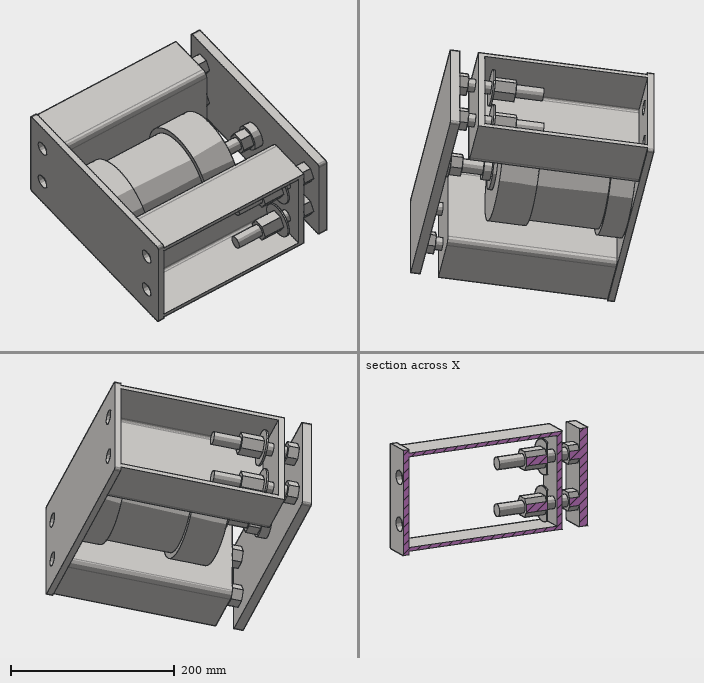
import cadquery as cq
import math


width = 270.0
front_height = 135.0
back_height = 126.0
overall_depth = 254.0
front_thickness = 8.0
back_thickness = 12.0
plate_corner_radius = 3.0
back_face_y = overall_depth - back_thickness

channel_width = 65.0
channel_end_y = 219.2
channel_wall = 5.5
end_plate_thickness = 8.0
channel_outer_radius = 8.0
channel_inner_radius = 3.2

nut_flats = 24.0
nut_corners = nut_flats / math.cos(math.pi / 6)

bolt_x = 110.0
bolt_z = 30.0
bolt_diameter = 16.0
bolt_end_y = 134.2
access_hole_diameter = 17.8
head_height = 13.5
washer_diameter = 45.0
washer_thickness = 2.2
washer_y = 197.0
nut_height = 14.0

cylinder_steps = [
    (127.0, 38.0),
    (112.5, 127.5),
    (127.0, 174.5),
    (50.5, 179.0),
    (28.4, 189.0),
    (16.7, 215.5),
]
boss_diameter = 32.7
boss_height = 11.5


def plate(height, thickness, y):
    return (
        cq.Workplane("XY")
        .box(width, thickness, height, centered=(True, False, True))
        .edges("|Y")
        .fillet(plate_corner_radius)
        .translate((0, y, 0))
    )


def profile_plane(x, y, z):
    """Workplane normal to +Y with its origin at the given point."""
    return cq.Workplane(cq.Plane(origin=(x, y, z), xDir=(1, 0, 0), normal=(0, 1, 0)))


def cylinder(diameter, start_y, end_y, x=0, z=0):
    return profile_plane(x, start_y, z).circle(diameter / 2).extrude(end_y - start_y)


def hex_nut(start_y, end_y, x=0, z=0):
    """Hexagonal prism along Y with two corners pointing along X."""
    return profile_plane(x, start_y, z).polygon(6, nut_corners).extrude(end_y - start_y)


def left_channel():
    length = channel_end_y - front_thickness
    shell = (
        cq.Workplane("XY")
        .box(channel_width, length, back_height, centered=(False, False, True))
        .edges("|Y and >X")
        .fillet(channel_outer_radius)
    )
    cavity = (
        cq.Workplane("XY")
        .box(
            channel_width - channel_wall,
            length - end_plate_thickness,
            back_height - 2 * channel_wall,
            centered=(False, False, True),
        )
        .edges("|Y and >X")
        .fillet(channel_inner_radius)
    )
    return shell.cut(cavity).translate((-width / 2, front_thickness, 0))


def bolt_set(x, z):
    """Threaded rod with a nut at the back plate, a washer and a pair of lock nuts."""
    rod = cylinder(bolt_diameter, bolt_end_y, back_face_y, x, z)
    head = hex_nut(back_face_y - head_height, back_face_y, x, z)
    washer = cylinder(washer_diameter, washer_y, washer_y + washer_thickness, x, z)
    inner_nut_y = washer_y - nut_height
    inner_nut = hex_nut(inner_nut_y, washer_y, x, z)
    outer_nut = hex_nut(inner_nut_y - nut_height, inner_nut_y, x, z)
    return rod.union(head).union(washer).union(inner_nut).union(outer_nut)


def pneumatic_cylinder():
    body = None
    start_y = front_thickness
    for diameter, end_y in cylinder_steps:
        step = cylinder(diameter, start_y, end_y)
        body = step if body is None else body.union(step)
        start_y = end_y
    boss_y = back_face_y - boss_height
    return body.union(hex_nut(start_y, boss_y)).union(cylinder(boss_diameter, boss_y, back_face_y))


bolt_positions = [(x, z) for x in (-bolt_x, bolt_x) for z in (-bolt_z, bolt_z)]

front_plate = plate(front_height, front_thickness, 0)
for x, z in bolt_positions:
    front_plate = front_plate.cut(cylinder(access_hole_diameter, 0, front_thickness, x, z))

channel = left_channel()
result = front_plate.union(plate(back_height, back_thickness, back_face_y))
result = result.union(channel).union(channel.mirror("YZ"))
result = result.union(pneumatic_cylinder())
for x, z in bolt_positions:
    result = result.union(bolt_set(x, z))